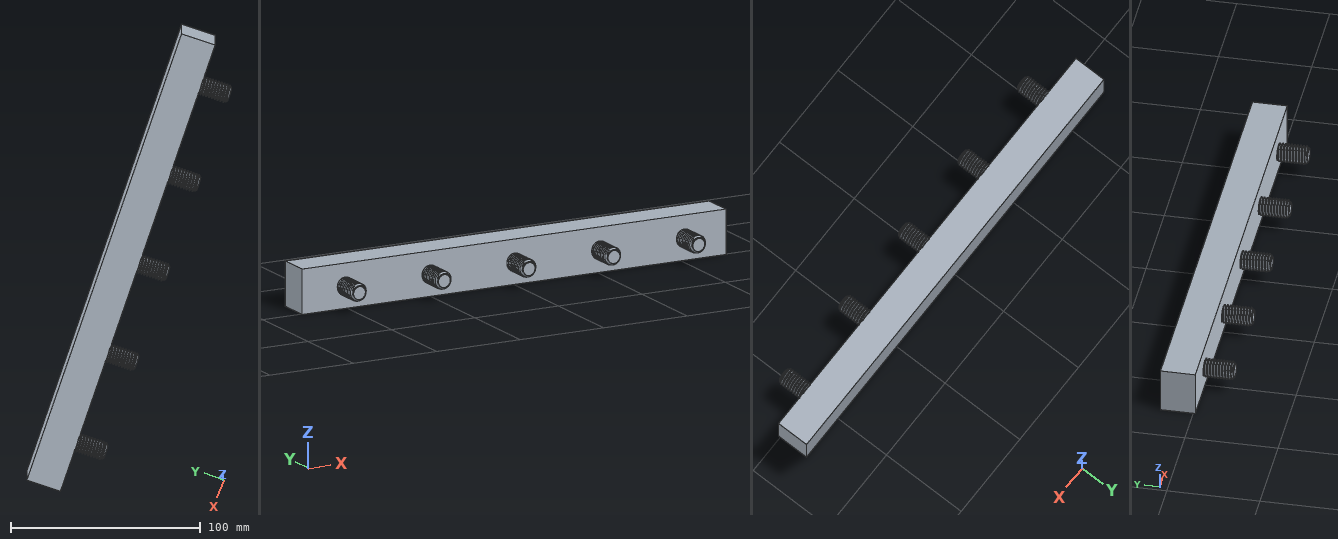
import cadquery as cq

BAR_LENGTH = 254.0
BAR_DEPTH = 18.8
BAR_HEIGHT = 25.0

STUD_COUNT = 5
STUD_REACH = 16.5
TIP_DIAMETER = 7.0

THREAD_DIAMETER = 10.0
ROOT_DIAMETER = 7.5
THREAD_PITCH = 1.6
CREST_WIDTH = 0.2
ROOT_WIDTH = 0.2
ROOT_SINK = 0.13
THREAD_START_ANGLE = -60.0
CORE_SEAM_ANGLE = 37.0

stud_spacing = BAR_LENGTH / STUD_COUNT
root_radius = ROOT_DIAMETER / 2
crest_radius = THREAD_DIAMETER / 2
ridge_overrun = THREAD_PITCH
core_overrun = 2 * THREAD_PITCH


def turn_about_z(shape, angle):
    """Rotate a shape about the Z axis."""
    return shape.rotate((0, 0, 0), (0, 0, 1), angle)


def make_bar():
    """Plain bar, centred on X and Z, with its stud face on Y = 0."""
    return cq.Workplane("XY").box(
        BAR_LENGTH, BAR_DEPTH, BAR_HEIGHT, centered=(True, False, True)
    )


def make_core():
    """Round core of the thread around Z, longer than the stud at both ends."""
    core = (
        cq.Workplane("XY", origin=(0, 0, -core_overrun))
        .circle(root_radius)
        .extrude(STUD_REACH + 2 * core_overrun)
    )
    return turn_about_z(core, CORE_SEAM_ANGLE)


def make_thread_ridge():
    """Right-handed helical ridge around Z, longer than the stud at both ends."""
    half_crest = CREST_WIDTH / 2
    half_root = (THREAD_PITCH - ROOT_WIDTH) / 2
    flank_slope = (half_root - half_crest) / (crest_radius - root_radius)
    base_radius = root_radius - ROOT_SINK
    half_base = half_root + flank_slope * ROOT_SINK
    profile = (
        cq.Workplane("XZ")
        .polyline(
            [
                (base_radius, -half_base),
                (crest_radius, -half_crest),
                (crest_radius, half_crest),
                (base_radius, half_base),
            ]
        )
        .close()
    )
    helix = cq.Wire.makeHelix(THREAD_PITCH, STUD_REACH + 2 * ridge_overrun, root_radius)
    ridge = profile.sweep(cq.Workplane(obj=helix), isFrenet=True)
    return turn_about_z(ridge.translate((0, 0, -ridge_overrun)), THREAD_START_ANGLE)


def make_stud_envelope():
    """Cylinder wider than the thread that trims the stud to length and chamfers its tip."""
    envelope_radius = crest_radius + THREAD_PITCH
    tip_inset = envelope_radius - TIP_DIAMETER / 2
    envelope = cq.Workplane("XY").circle(envelope_radius).extrude(STUD_REACH)
    return envelope.faces(">Z").chamfer(tip_inset)


def make_stud():
    """Threaded stud seated flat at the origin and pointing along -Y."""
    stud = make_core().union(make_thread_ridge()).intersect(make_stud_envelope())
    return stud.rotate((0, 0, 0), (1, 0, 0), 90).solids().val()


bar = make_bar()

stud = make_stud()
first_stud_x = -(STUD_COUNT - 1) / 2 * stud_spacing
studs = []
for index in range(STUD_COUNT):
    stud_x = first_stud_x + index * stud_spacing
    studs.append(stud.translate(cq.Vector(stud_x, 0, 0)))

result = cq.Compound.makeCompound([bar.val(), *studs])